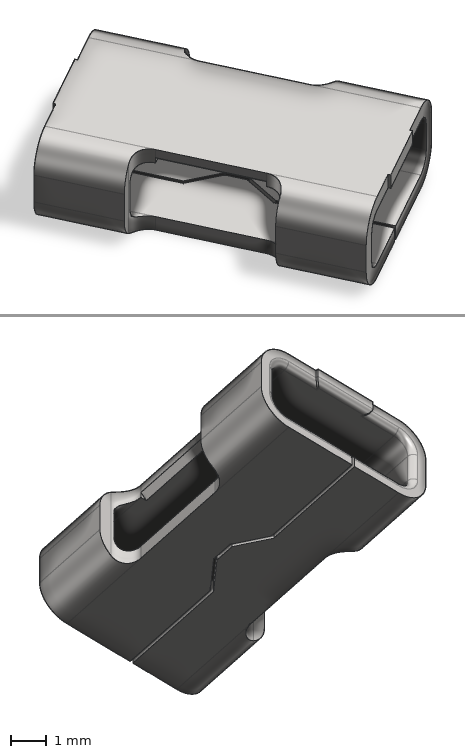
import cadquery as cq

body_length = 9.84
width = 6.0
height = 3.0
wall = 0.5
outer_radius = 1.0
inner_radius = outer_radius - wall

overall_length = 10.0
tongue_width = 2.0

mouth_radius = 0.2

window_length = 4.48
window_depth = outer_radius
window_radius = 0.6
window_chamfer = 0.2

seam_gap = 0.1
seam_offset = 0.35
interlock_tip_half = 0.35
interlock_base_half = 1.35


def rounded_bar(bar_width, bar_height, radius):
    """Bar of the sleeve's length along X with rounded long edges."""
    return cq.Workplane("XY").box(body_length, bar_width, bar_height).edges("|X").fillet(radius)


def make_sleeve():
    outside = rounded_bar(width, height, outer_radius)
    inside = rounded_bar(width - 2 * wall, height - 2 * wall, inner_radius)
    tongues = (
        cq.Workplane("XY")
        .box(overall_length, tongue_width, wall)
        .translate((0, 0, (height - wall) / 2))
    )
    return outside.cut(inside).union(tongues)


def round_mouth(sleeve):
    """Round all edges of the bore at the -X end, across the tongue as well."""
    half_y = (width - wall) / 2
    half_z = (height - wall) / 2
    bore_end = cq.selectors.BoxSelector(
        (-overall_length, -half_y, -half_z),
        (-body_length / 2 + mouth_radius, half_y, half_z),
        boundingbox=True,
    )
    return sleeve.edges(bore_end).fillet(mouth_radius)


def make_window(side):
    """Cutter for the window in one side wall; side is -1 for -Y and +1 for +Y."""
    return (
        cq.Workplane("XY")
        .box(window_length, 2 * window_depth, height)
        .edges("|Z")
        .fillet(window_radius)
        .translate((0, side * width / 2, 0))
    )


def make_window_chamfer(side):
    """Wedge that bevels the lower edge of the top wall along one window."""
    edge_y = side * (width / 2 - window_depth)
    edge_z = height / 2 - wall
    bevel_length = window_length - 2 * window_radius
    return (
        cq.Workplane("YZ")
        .moveTo(edge_y, edge_z)
        .lineTo(edge_y - side * window_chamfer, edge_z)
        .lineTo(edge_y, edge_z + window_chamfer)
        .close()
        .extrude(bevel_length / 2, both=True)
    )


def make_seam():
    """Cutter for the gap of constant width along the bent seam line."""
    half_length = body_length / 2
    seam_line = [
        (-half_length, -seam_offset),
        (-interlock_base_half, -seam_offset),
        (-interlock_tip_half, seam_offset),
        (interlock_tip_half, seam_offset),
        (interlock_base_half, -seam_offset),
        (half_length, -seam_offset),
    ]
    return (
        cq.Workplane("XY", origin=(0, 0, -height / 2))
        .polyline(seam_line)
        .offset2D(seam_gap / 2, "intersection")
        .extrude(wall)
    )


result = round_mouth(make_sleeve())
for side in (-1, 1):
    result = result.cut(make_window(side)).cut(make_window_chamfer(side))
result = result.cut(make_seam())